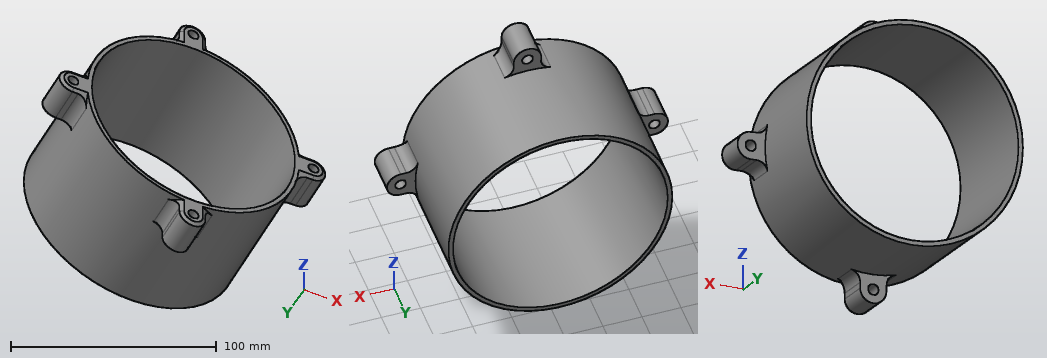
import cadquery as cq
import math

inner_diameter = 110.0
outer_diameter = 114.8
tube_length = 70.0
inner_radius = inner_diameter / 2
outer_radius = outer_diameter / 2

lug_count = 4
overall_width = 144.0
lug_radius = 7.0
lug_length = 20.0
hole_diameter = 5.5
root_fillet = 6.0
hole_offset = overall_width / 2 - lug_radius

bevel_inset = 2.0
bevel_angle = 30.0
bevel_run = 9.0

root_radius = (inner_radius + outer_radius) / 2


def front_plane(depth=0.0):
    """XZ plane at Y = depth, whose extrusions run towards +Y; local x is -X."""
    return cq.Workplane(cq.Plane(origin=(0, depth, 0), xDir=(-1, 0, 0), normal=(0, 1, 0)))


def make_tube():
    return front_plane().circle(outer_radius).circle(inner_radius).extrude(tube_length)


def make_lug_body():
    """Round-ended lug whose sides blend tangentially into the tube."""
    fillet_x = lug_radius + root_fillet
    fillet_centre_radius = outer_radius + root_fillet
    fillet_z = math.sqrt(fillet_centre_radius**2 - fillet_x**2)

    contact_x = fillet_x * outer_radius / fillet_centre_radius
    contact_z = fillet_z * outer_radius / fillet_centre_radius
    contact_angle = math.atan2(fillet_z, fillet_x)
    middle_x = fillet_x - root_fillet * math.cos(contact_angle / 2)
    middle_z = fillet_z - root_fillet * math.sin(contact_angle / 2)

    root_x = fillet_x * root_radius / fillet_centre_radius
    root_z = fillet_z * root_radius / fillet_centre_radius

    return (
        front_plane()
        .moveTo(-root_x, root_z)
        .lineTo(-contact_x, contact_z)
        .threePointArc((-middle_x, middle_z), (-lug_radius, fillet_z))
        .lineTo(-lug_radius, hole_offset)
        .threePointArc((0, hole_offset + lug_radius), (lug_radius, hole_offset))
        .lineTo(lug_radius, fillet_z)
        .threePointArc((middle_x, middle_z), (contact_x, contact_z))
        .lineTo(root_x, root_z)
        .threePointArc((0, root_radius), (-root_x, root_z))
        .close()
        .extrude(lug_length)
    )


def make_bevel_envelope():
    """Round-ended solid that flares out from the flat front face of a lug."""
    half_width = lug_radius - bevel_inset
    flare_depth = bevel_run * math.tan(math.radians(bevel_angle))
    flare = (
        front_plane()
        .moveTo(-half_width, 0)
        .lineTo(-half_width, hole_offset)
        .threePointArc((0, hole_offset + half_width), (half_width, hole_offset))
        .lineTo(half_width, 0)
        .close()
        .extrude(flare_depth, taper=bevel_angle - 90)
    )
    rear = (
        front_plane(flare_depth)
        .rect(overall_width, overall_width)
        .extrude(lug_length - flare_depth)
    )
    return flare.union(rear)


def make_lug():
    return make_lug_body().intersect(make_bevel_envelope())


def make_hole():
    return front_plane().center(0, hole_offset).circle(hole_diameter / 2).extrude(lug_length)


lug = make_lug()
hole = make_hole()
result = make_tube()
for index in range(lug_count):
    angle = index * 360 / lug_count
    result = result.union(lug.rotate((0, 0, 0), (0, 1, 0), angle))
    result = result.cut(hole.rotate((0, 0, 0), (0, 1, 0), angle))